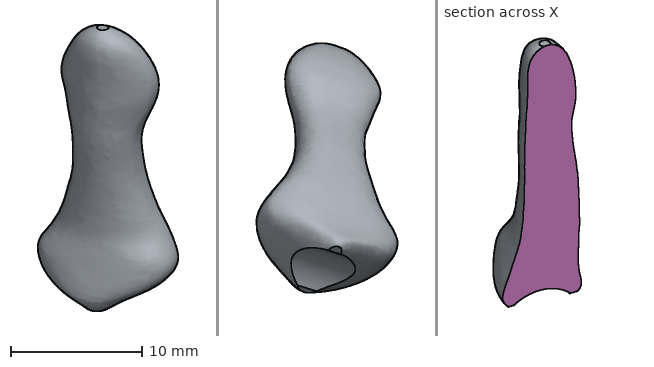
import cadquery as cq
import math

TOTAL_HEIGHT = 22.85

BASE_SECTIONS = [
    (0.0, -0.40, 0.90, -2.55, 3.20, 0.9),
    (0.4, -1.15, 1.50, -2.95, 3.44, 0.9),
    (1.4, -3.55, 3.15, -3.44, 3.38, 0.9),
    (2.25, -4.95, 4.65, -3.25, 3.25, 0.9),
    (3.1, -5.47, 5.40, -2.95, 3.22, 0.9),
    (3.9, -5.55, 5.59, -2.65, 3.24, 0.95),
    (4.7, -5.06, 5.35, -2.37, 3.27, 1.1),
]
SHAFT_SECTIONS = [
    (5.95, -4.30, 4.65, -1.96, 3.33, 1.2),
    (7.2, -3.75, 3.96, -1.75, 3.34, 1.2),
    (8.85, -3.27, 3.27, -1.62, 3.27, 1.1),
    (10.5, -2.86, 2.79, -1.56, 3.17, 1.0),
    (12.15, -2.79, 2.57, -1.54, 2.95, 0.9),
    (14.2, -2.91, 2.62, -1.52, 2.70, 0.9),
]
HEAD_SECTIONS = [
    (15.45, -3.24, 3.03, -1.46, 2.66, 0.9),
    (17.1, -3.68, 3.66, -1.38, 2.97, 1.3),
    (18.3, -3.99, 3.77, -1.30, 3.0, 1.4),
    (20.4, -3.36, 3.05, -1.27, 2.65, 1.1),
    (21.65, -2.58, 2.10, -1.14, 2.17, 0.7),
    (22.45, -1.69, 1.00, -0.65, 1.55, 0.5),
    (TOTAL_HEIGHT, -0.75, 0.15, 0.0, 0.85, 0.43),
]

BASE_ROUNDNESS = (2.2, 2.65, 2.75, 2.3)
SHAFT_ROUNDNESS = (2.0, 2.0, 2.6, 2.6)
HEAD_ROUNDNESS = (1.8, 1.7, 2.75, 2.8)
POINTS_PER_SECTION = 16

BACK_LIP = (2.45, 0.05)
HOLLOW_TOP = (0.1, 1.05)
FRONT_LIP = (-2.45, 0.40)
CUTTER_DEPTH = 2.0
CUTTER_FRONT = -5.0
CUTTER_LENGTH = 14.0


def signed_power(value, exponent):
    """Raise the size of a value to a power and keep its sign."""
    return math.copysign(abs(value) ** exponent, value)


def section_wire(section, roundness):
    """Closed smooth outline: rounded towards the front, flatter at the back."""
    height, left, right, front, back, widest = section
    front_left, front_right, back_left, back_right = roundness
    middle = (left + right) / 2
    half_width = (right - left) / 2
    points = []
    for index in range(POINTS_PER_SECTION):
        angle = 2 * math.pi * index / POINTS_PER_SECTION
        on_back = math.sin(angle) > 0
        on_right = math.cos(angle) > 0
        if on_back:
            exponent = back_right if on_right else back_left
        else:
            exponent = front_right if on_right else front_left
        depth = back - widest if on_back else widest - front
        x = middle + half_width * signed_power(math.cos(angle), 2 / exponent)
        y = widest + depth * signed_power(math.sin(angle), 2 / exponent)
        points.append(cq.Vector(x, y, height))
    return cq.Wire.assembleEdges([cq.Edge.makeSpline(points, periodic=True)])


def bone_body():
    """Smooth loft through all sections from base to head."""
    groups = [
        (BASE_SECTIONS, BASE_ROUNDNESS),
        (SHAFT_SECTIONS, SHAFT_ROUNDNESS),
        (HEAD_SECTIONS, HEAD_ROUNDNESS),
    ]
    wires = [section_wire(section, roundness) for sections, roundness in groups for section in sections]
    return cq.Workplane(cq.Solid.makeLoft(wires))


def joint_hollow():
    """Cutter for the concave joint face; it also trims the bone below the front lip."""
    return (
        cq.Workplane("YZ")
        .moveTo(*BACK_LIP)
        .threePointArc(HOLLOW_TOP, FRONT_LIP)
        .lineTo(CUTTER_FRONT, FRONT_LIP[1])
        .lineTo(CUTTER_FRONT, -CUTTER_DEPTH)
        .lineTo(BACK_LIP[0], -CUTTER_DEPTH)
        .close()
        .extrude(CUTTER_LENGTH / 2, both=True)
    )


result = bone_body().cut(joint_hollow())